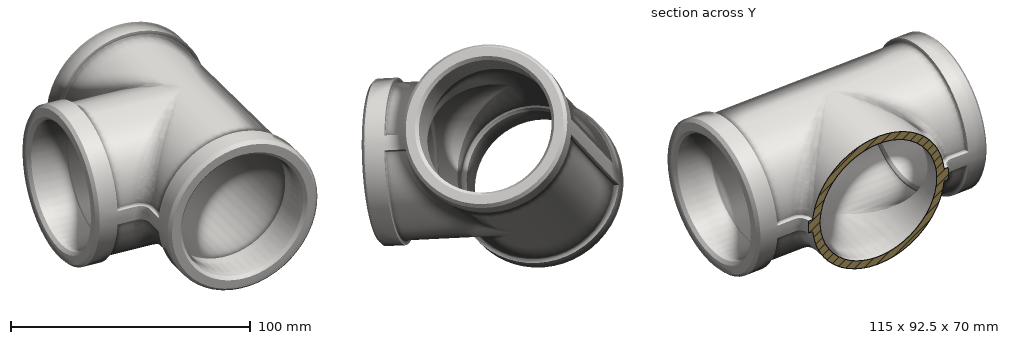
import cadquery as cq
run_length = 115.0
branch_reach = 57.5
body_radius = 66.0 / 2
body_blend_radius = 6.2

collar_radius = 70.0 / 2
collar_width = 9.9
collar_chamfer = 1.4

rib_thickness = 6.4
rib_blend_radius = body_blend_radius - (collar_radius - body_radius)

root_fillet = 0.5
on_surface = 0.001

bore_radius = 56.7 / 2
bore_length = 19.1
bore_chamfer = 1.4
inner_bore_chamfer = 1.2
chamber_radius = 60.6 / 2

ports = [
    (0, run_length / 2),
    (180, run_length / 2),
    (-90, branch_reach),
]


def crossing_cylinders(radius, end_depth):
    """Solid T of two equal cylinders, each ending end_depth short of its mouth."""
    run = cq.Workplane("YZ").circle(radius).extrude(run_length / 2 - end_depth, both=True)
    branch = cq.Workplane("XZ").circle(radius).extrude(branch_reach - end_depth)
    return run.union(branch)


def blended_tee(radius, blend_radius):
    """Solid T between the collars, rounded along the elliptical seam."""
    tee = crossing_cylinders(radius, collar_width)
    seam = [edge for edge in tee.edges().vals() if edge.geomType() == "ELLIPSE"]
    return tee.newObject(seam).fillet(blend_radius)


def rib():
    """Slice of a collar-sized tee, so the rib follows the outline of the body."""
    slab = cq.Workplane("XY").box(2 * run_length, 2 * run_length, rib_thickness)
    return blended_tee(collar_radius, rib_blend_radius).intersect(slab)


def port_revolve(profile, turn):
    """Revolve (distance, radius) points about X, then turn the solid to face its port."""
    solid = cq.Workplane("XY").polyline(profile).close().revolve(360, (0, 0, 0), (1, 0, 0))
    return solid.rotate((0, 0, 0), (0, 0, 1), turn)


def collar(turn, reach):
    """Solid disc with a chamfered mouth edge."""
    shoulder = reach - collar_width
    profile = [
        (shoulder, 0),
        (shoulder, collar_radius),
        (reach - collar_chamfer, collar_radius),
        (reach, collar_radius - collar_chamfer),
        (reach, 0),
    ]
    return port_revolve(profile, turn)


def bore(turn, reach):
    """Round opening with chamfers at the mouth and where it meets the chamber."""
    inner_end = reach - bore_length
    profile = [
        (inner_end, 0),
        (inner_end, bore_radius + inner_bore_chamfer),
        (inner_end + inner_bore_chamfer, bore_radius),
        (reach - bore_chamfer, bore_radius),
        (reach, bore_radius + bore_chamfer),
        (reach, 0),
    ]
    return port_revolve(profile, turn)


def lies_on(edge, skin):
    """True if a sample point of the edge is on the given shell."""
    sample = cq.Vertex.makeVertex(*edge.positionAt(0.5).toTuple())
    return sample.distance(skin) < on_surface


def fillet_roots(part, body, raised):
    """Fillet the edges where the raised features meet the body surface."""
    body_skin = body.shells().val()
    raised_skin = raised.shells().val()
    roots = [edge for edge in part.edges().vals() if lies_on(edge, body_skin) and lies_on(edge, raised_skin)]
    return part.newObject(roots).fillet(root_fillet)


body = blended_tee(body_radius, body_blend_radius)
raised = rib()
for turn, reach in ports:
    raised = raised.union(collar(turn, reach))
result = fillet_roots(body.union(raised), body, raised)

chamber = crossing_cylinders(chamber_radius, bore_length)
result = result.cut(chamber)
for turn, reach in ports:
    result = result.cut(bore(turn, reach))